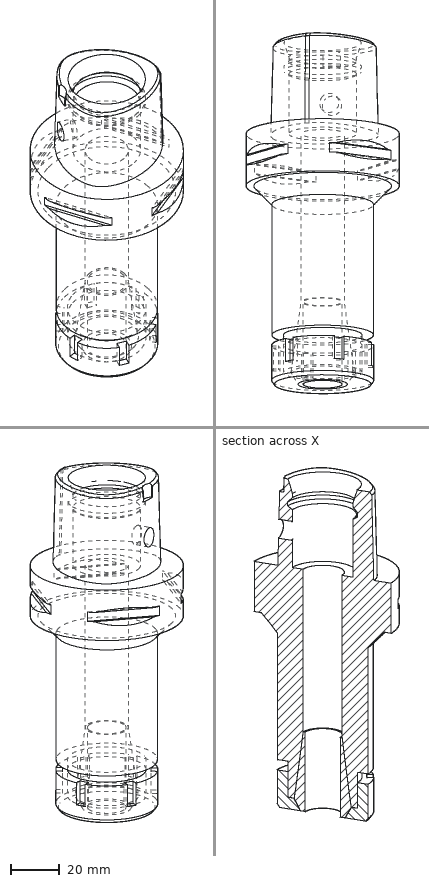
import cadquery as cq
import math

NUT_RADIUS = 21.0
NUT_HEIGHT = 16.3
NUT_CHAMFER_HEIGHT = 1.6
NUT_CHAMFER_WIDTH = 1.1
NUT_LIP = 5.0
SPANNER_SLOTS = 6
SPANNER_SLOT_WIDTH = 4.1
SPANNER_SLOT_HEIGHT = 9.6
SPANNER_SLOT_FLOOR = 18.2

COLLET_BORE_RADIUS = 8.0
COLLET_SHOULDER_RADIUS = 13.0
COLLET_TAPER = math.radians(8)
COLLET_NOSE_TAPER = math.radians(30)

NECK_RADIUS = 16.2
BARREL_RADIUS = 20.9
BARREL_BOTTOM = 20.6
NECK_CONE_BOTTOM = 75.4
FLANGE_BOTTOM = 83.1
FLANGE_TOP = 105.0
TOP = 143
FLANGE_RADIUS = 63.0 / 2
NECK_CONE_RADIUS = 28.3
THROUGH_RADIUS = 8.9

SHANK_BASE_RADIUS = 22.2
SHANK_TAPER = 1 / 40
LOBE = 1.5
LOBE_STEPS = 24
SHANK_EDGE_HEIGHT = 1.3
SHANK_EDGE_WIDTH = 1.0

MOUTH_RADIUS = 15.9
MOUTH_BOTTOM = 137.0
CLAMP_BORE_RADIUS = 13.9
GROOVE_TOP = 135.1
GROOVE_RADIUS = 16.0
GROOVE_BOTTOM = 131.3
GROOVE_LEAD_HEIGHT = 1.3
CLAMP_BORE_FLOOR = FLANGE_TOP

KEY_NOTCH_WIDTH = 7.3
KEY_NOTCH_FLOOR_RADIUS = 6.0
KEY_NOTCH_FLOOR = 18.0
KEY_NOTCH_BOTTOM = 137.0
SIDE_HOLE_RADIUS = 4.0
SIDE_HOLE_HEIGHT = 120.7
SIDE_HOLE_FLOOR = 14.3

GRIP_NOTCHES = 4
GRIP_FLOOR = 27.6
GRIP_SLOT_HEIGHT = 4.0
GRIP_BEVEL_START = 28.9
GRIP_MOUTH_HEIGHT = 7.6
GRIP_CENTRE = 93.1

collet_rise = (COLLET_SHOULDER_RADIUS - THROUGH_RADIUS) / math.tan(COLLET_TAPER)
COLLET_TOP = NUT_LIP + collet_rise
COLLET_NOSE_RADIUS = COLLET_SHOULDER_RADIUS - NUT_LIP * math.tan(COLLET_NOSE_TAPER)


def revolve(points):
    """Turn a closed (radius, height) outline around the Z axis."""
    return cq.Workplane("XZ").polyline(points).close().revolve(360, (0, 0), (0, 1))


def lobed_wire(radius, z):
    """Constant-width three-lobed outline with one lobe pointing to +Y."""

    def point(t):
        x = radius * math.cos(t) - 2 * LOBE * math.sin(2 * t) + LOBE * math.sin(4 * t)
        y = radius * math.sin(t) - 2 * LOBE * math.cos(2 * t) - LOBE * math.cos(4 * t)
        return x, y

    halves = []
    for start in (-math.pi / 2, math.pi / 2):
        angles = [start + math.pi * i / LOBE_STEPS for i in range(LOBE_STEPS + 1)]
        points = [cq.Vector(*point(t), z) for t in angles]
        end_tangents = [cq.Vector(-math.sin(t), math.cos(t), 0) for t in (angles[0], angles[-1])]
        halves.append(cq.Edge.makeSpline(points, tangents=end_tangents, parameters=angles))
    return cq.Wire.assembleEdges(halves)


def lobed_frustum(bottom_radius, bottom, top_radius, top):
    wires = [lobed_wire(bottom_radius, bottom), lobed_wire(top_radius, top)]
    return cq.Workplane(cq.Solid.makeLoft(wires, True))


def make_shank():
    edge_z = TOP - SHANK_EDGE_HEIGHT
    edge_radius = SHANK_BASE_RADIUS - (edge_z - FLANGE_TOP) * SHANK_TAPER
    cone = lobed_frustum(SHANK_BASE_RADIUS, FLANGE_TOP, edge_radius, edge_z)
    edge = lobed_frustum(edge_radius, edge_z, edge_radius - SHANK_EDGE_WIDTH, TOP)
    return cone.union(edge)


def make_flange_and_barrel():
    return revolve([
        (0, NUT_LIP),
        (NECK_RADIUS, NUT_LIP),
        (NECK_RADIUS, BARREL_BOTTOM),
        (BARREL_RADIUS, BARREL_BOTTOM),
        (BARREL_RADIUS, NECK_CONE_BOTTOM),
        (NECK_CONE_RADIUS, FLANGE_BOTTOM),
        (FLANGE_RADIUS, FLANGE_BOTTOM),
        (FLANGE_RADIUS, FLANGE_TOP),
        (0, FLANGE_TOP),
    ])


def make_holder_bore():
    """Collet seat, through passage and clamping bore with its grooved, flared mouth."""
    groove_depth = GROOVE_RADIUS - CLAMP_BORE_RADIUS
    return revolve([
        (0, NUT_LIP),
        (COLLET_SHOULDER_RADIUS, NUT_LIP),
        (THROUGH_RADIUS, COLLET_TOP),
        (THROUGH_RADIUS, CLAMP_BORE_FLOOR),
        (CLAMP_BORE_RADIUS, CLAMP_BORE_FLOOR),
        (CLAMP_BORE_RADIUS, GROOVE_BOTTOM - GROOVE_LEAD_HEIGHT),
        (GROOVE_RADIUS, GROOVE_BOTTOM),
        (GROOVE_RADIUS, GROOVE_TOP - groove_depth),
        (CLAMP_BORE_RADIUS, GROOVE_TOP),
        (CLAMP_BORE_RADIUS, MOUTH_BOTTOM),
        (MOUTH_RADIUS, TOP),
        (0, TOP),
    ])


def make_key_notch():
    """Upright notch in the rim of the shank, with straight sides and a hollow curved floor."""
    height = TOP - KEY_NOTCH_BOTTOM
    base = cq.Workplane("XY", origin=(0, 0, KEY_NOTCH_BOTTOM))
    slot = base.center(0, -SHANK_BASE_RADIUS).rect(KEY_NOTCH_WIDTH, 2 * KEY_NOTCH_FLOOR_RADIUS).extrude(height)
    cutter = base.center(0, -KEY_NOTCH_FLOOR - KEY_NOTCH_FLOOR_RADIUS).circle(KEY_NOTCH_FLOOR_RADIUS).extrude(height)
    return slot.intersect(cutter)


def make_side_hole():
    """Blind round hole entering the shank from -Y."""
    return (
        cq.Workplane("XZ", origin=(0, -SIDE_HOLE_FLOOR, SIDE_HOLE_HEIGHT))
        .circle(SIDE_HOLE_RADIUS)
        .extrude(SHANK_BASE_RADIUS - SIDE_HOLE_FLOOR)
    )


def make_grip_notch(angle):
    """Straight slot with bevelled edges across the flange rim, facing the given direction."""
    slot = GRIP_SLOT_HEIGHT / 2
    mouth = GRIP_MOUTH_HEIGHT / 2
    return (
        cq.Workplane("XZ", origin=(0, 0, GRIP_CENTRE))
        .polyline([
            (GRIP_FLOOR, -slot),
            (GRIP_BEVEL_START, -slot),
            (FLANGE_RADIUS, -mouth),
            (FLANGE_RADIUS, mouth),
            (GRIP_BEVEL_START, slot),
            (GRIP_FLOOR, slot),
        ])
        .close()
        .extrude(FLANGE_RADIUS, both=True)
        .rotate((0, 0, 0), (0, 0, 1), angle)
    )


def make_holder():
    holder = make_flange_and_barrel().union(make_shank())
    holder = holder.cut(make_holder_bore())
    holder = holder.cut(make_key_notch()).cut(make_side_hole())
    for i in range(GRIP_NOTCHES):
        holder = holder.cut(make_grip_notch(45 + i * 360 / GRIP_NOTCHES))
    return holder


def make_collet():
    return revolve([
        (COLLET_BORE_RADIUS, 0),
        (COLLET_NOSE_RADIUS, 0),
        (COLLET_SHOULDER_RADIUS, NUT_LIP),
        (THROUGH_RADIUS, COLLET_TOP),
        (COLLET_BORE_RADIUS, COLLET_TOP),
    ])


def make_spanner_slot(angle):
    depth = NUT_RADIUS - SPANNER_SLOT_FLOOR
    return (
        cq.Workplane("XY")
        .box(depth, SPANNER_SLOT_WIDTH, SPANNER_SLOT_HEIGHT, centered=(False, True, False))
        .translate((SPANNER_SLOT_FLOOR, 0, NUT_HEIGHT - SPANNER_SLOT_HEIGHT))
        .rotate((0, 0, 0), (0, 0, 1), angle)
    )


def make_nut():
    nut = revolve([
        (COLLET_NOSE_RADIUS, 0),
        (NUT_RADIUS - NUT_CHAMFER_WIDTH, 0),
        (NUT_RADIUS, NUT_CHAMFER_HEIGHT),
        (NUT_RADIUS, NUT_HEIGHT),
        (NECK_RADIUS, NUT_HEIGHT),
        (NECK_RADIUS, NUT_LIP),
        (COLLET_SHOULDER_RADIUS, NUT_LIP),
    ])
    for i in range(SPANNER_SLOTS):
        nut = nut.cut(make_spanner_slot(i * 360 / SPANNER_SLOTS))
    return nut


holder = make_holder()
nut = make_nut()
collet = make_collet()

result = cq.Compound.makeCompound([holder.val(), nut.val(), collet.val()])